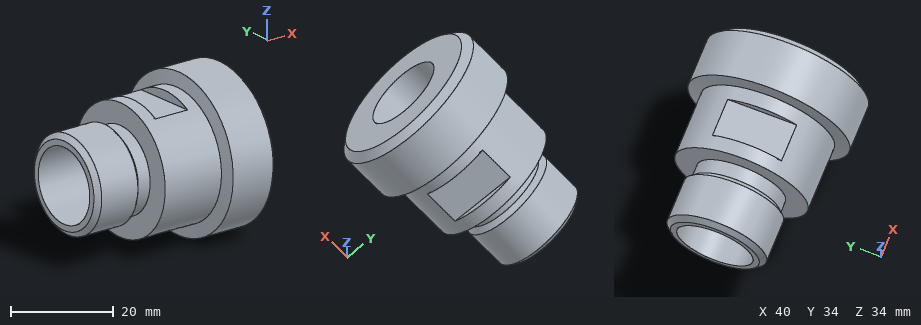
import cadquery as cq

total_length = 40.0
spigot_length = 14.0
groove_width = 2.95
tip_chamfer_length = 1.0
groove_chamfer_length = 1.05
body_end = 28.0
flange_face_rise = 0.53

bore_diameter = 16.0
spigot_diameter = 20.95
groove_diameter = 18.6
body_diameter = 28.0
flange_diameter = 34.0

flange_chamfer_length = 1.5
flange_chamfer_depth = 1.78

flat_start = 17.0
flat_length = 8.0
across_flats = 24.0

bore_radius = bore_diameter / 2
spigot_radius = spigot_diameter / 2
groove_radius = groove_diameter / 2
body_radius = body_diameter / 2
flange_radius = flange_diameter / 2

groove_start = spigot_length - groove_width


def make_turned_body():
    """Revolve the half section, bore included, about the X axis."""
    half_section = [
        (0, bore_radius),
        (0, groove_radius),
        (tip_chamfer_length, spigot_radius),
        (groove_start - groove_chamfer_length, spigot_radius),
        (groove_start, groove_radius),
        (spigot_length, groove_radius),
        (spigot_length, body_radius),
        (body_end, body_radius),
        (body_end + flange_face_rise, flange_radius),
        (total_length - flange_chamfer_length, flange_radius),
        (total_length, flange_radius - flange_chamfer_depth),
        (total_length, bore_radius),
    ]
    profile = cq.Workplane("XY").polyline(half_section).close()
    return profile.revolve(360, (0, 0, 0), (1, 0, 0))


def make_flat_cutter(side):
    """Block that removes everything outside one flat; side is +1 (top) or -1 (bottom)."""
    cut_depth = body_radius - across_flats / 2
    center_x = flat_start + flat_length / 2
    center_z = side * (across_flats + cut_depth) / 2
    block = cq.Workplane("XY").box(flat_length, body_diameter, cut_depth)
    return block.translate((center_x, 0, center_z))


result = make_turned_body()
for side in (1, -1):
    result = result.cut(make_flat_cutter(side))